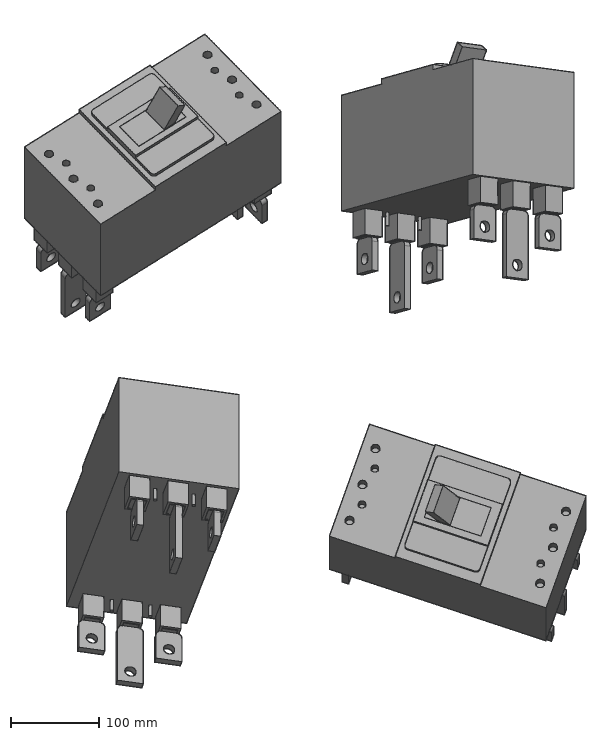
import cadquery as cq
import math


housing_width = 140.0
housing_length = 260.0
housing_height = 134.0
step_length = 102.2
step_height = 6.0

cover_width = 116.0
cover_length = 90.0
cover_corner_radius = 5.0
tier_height = 4.0
raised_width = 51.5
window_width = 35.5
window_length = 67.8
window_depth = 0.3

toggle_width = 33.8
toggle_thickness = 12.0
toggle_rise = 28.3
toggle_lean = 35
toggle_front_y = 3.5

pole_pitch = 45.0
terminal_y = 114.2
access_hole_diameter = 10.0
mounting_y = 107.0
mounting_hole_diameter = 8.5
hole_depth = 14.3

pin_diameter = 4.0
pin_length = 15.2

block_side = 24.0
block_height = 30.0
neck_side = 18.0
neck_height = 1.1
blade_width = 30.0
blade_thickness = 8.0
blade_corner_radius = 6.0
blade_hole_diameter = 13.0
blade_hole_to_end = 15.2
outer_terminal_length = 70.7
middle_terminal_length = 110.0

step_top = housing_height + step_height
cover_top = step_top + tier_height
raised_top = cover_top + tier_height
mounting_x = pole_pitch / 2
pole_positions = [-pole_pitch, 0, pole_pitch]
access_points = [(x, y) for x in pole_positions for y in (-terminal_y, terminal_y)]
mounting_points = [(x, y) for x in (-mounting_x, mounting_x) for y in (-mounting_y, mounting_y)]


def block(width, length, height, base_z):
    """A box centred on the Z axis, standing on the level base_z."""
    return cq.Workplane("XY", origin=(0, 0, base_z)).rect(width, length).extrude(height)


def make_cover():
    """The rounded plate and its raised middle strip, with the window sunk in the top."""
    plate = block(cover_width, cover_length, tier_height, step_top).edges("|Z").fillet(cover_corner_radius)
    raised_strip = block(raised_width, cover_length, tier_height, cover_top)
    window = block(window_width, window_length, window_depth, raised_top - window_depth)
    return plate.union(raised_strip).cut(window)


def make_toggle():
    """The leaning lever: its front edge meets the cover at toggle_front_y, its tip is square."""
    lean = math.radians(toggle_lean)
    base_z = raised_top - window_depth
    tip_front = (toggle_front_y + toggle_rise * math.tan(lean), raised_top + toggle_rise)
    tip_back = (
        tip_front[0] + toggle_thickness * math.cos(lean),
        tip_front[1] - toggle_thickness * math.sin(lean),
    )
    base_front_y = toggle_front_y - window_depth * math.tan(lean)
    base_back_y = base_front_y + toggle_thickness / math.cos(lean)
    profile = [(base_front_y, base_z), tip_front, tip_back, (base_back_y, base_z)]
    side_plane = cq.Workplane("YZ", origin=(-toggle_width / 2, 0, 0))
    return side_plane.polyline(profile).close().extrude(toggle_width)


def make_terminal(length):
    """A terminal hanging from Z = 0, with its blade across the Y axis."""
    blade_length = length - block_height - neck_height
    base = block(block_side, block_side, block_height, -block_height)
    neck = block(neck_side, neck_side, neck_height, -block_height - neck_height)
    blade = block(blade_width, blade_thickness, blade_length, -length)
    blade = blade.edges("|Y and >Z").fillet(blade_corner_radius)
    hole = (
        cq.Workplane("XZ", origin=(0, blade_thickness / 2, blade_hole_to_end - length))
        .circle(blade_hole_diameter / 2)
        .extrude(blade_thickness)
    )
    return base.union(neck).union(blade.cut(hole))


def make_top_holes(points, diameter):
    """Blind holes sunk into the top of the housing."""
    plane = cq.Workplane("XY", origin=(0, 0, housing_height))
    return plane.pushPoints(points).circle(diameter / 2).extrude(-hole_depth)


def make_housing():
    """The housing in one piece with its cover, toggle and terminals."""
    housing = block(housing_width, housing_length, housing_height, 0)
    housing = housing.union(block(housing_width, step_length, step_height, housing_height))
    housing = housing.cut(make_top_holes(access_points, access_hole_diameter))
    housing = housing.cut(make_top_holes(mounting_points, mounting_hole_diameter))
    housing = housing.union(make_cover()).union(make_toggle())
    for x in pole_positions:
        terminal = make_terminal(middle_terminal_length if x == 0 else outer_terminal_length)
        turned_terminal = terminal.rotate((0, 0, 0), (0, 0, 1), 90)
        housing = housing.union(terminal.translate((x, terminal_y, 0)))
        housing = housing.union(turned_terminal.translate((x, -terminal_y, 0)))
    return housing


def make_pin(x, y):
    """A round mounting pin standing out of the underside of the housing."""
    return cq.Workplane("XY", origin=(x, y, 0)).circle(pin_diameter / 2).extrude(-pin_length)


housing = make_housing()
pins = [make_pin(x, y) for x, y in mounting_points]

result = cq.Compound.makeCompound([housing.val(), *[pin.val() for pin in pins]])